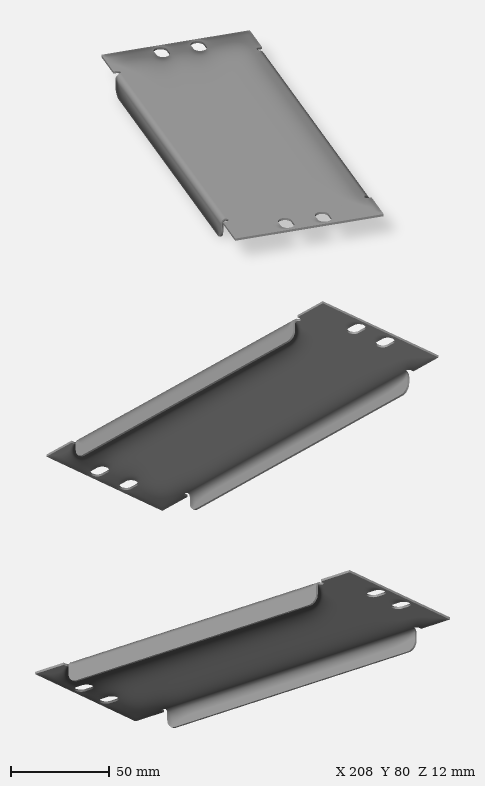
import cadquery as cq

LENGTH = 208.0
WIDTH = 80.0
HEIGHT = 12.0
THICKNESS = 1.2

FLANGE_LENGTH = 164.0
FLANGE_CORNER_RADIUS = 5.0
BEND_OUTER_RADIUS = 3.0
BEND_INNER_RADIUS = BEND_OUTER_RADIUS - THICKNESS

NOTCH_WIDTH = 3.1
NOTCH_DEPTH = 3.3

SLOT_LENGTH = 10.8
SLOT_WIDTH = 7.0
SLOT_SPACING_X = 193.2
SLOT_SPACING_Y = 20.0


def make_plate():
    """Flat panel, full size, from which the bend zones are removed later."""
    return cq.Workplane("XY").box(LENGTH, WIDTH, THICKNESS).translate((0, 0, -THICKNESS / 2))


def make_channel():
    """Downward channel: the middle of the panel with its two bent flanges."""
    outer = (
        cq.Workplane("XY")
        .box(FLANGE_LENGTH, WIDTH, HEIGHT)
        .translate((0, 0, -HEIGHT / 2))
        .edges("|X and >Z")
        .fillet(BEND_OUTER_RADIUS)
        .edges("|Y and <Z")
        .fillet(FLANGE_CORNER_RADIUS)
    )
    inner = (
        cq.Workplane("XY")
        .box(FLANGE_LENGTH, WIDTH - 2 * THICKNESS, HEIGHT)
        .translate((0, 0, -HEIGHT / 2 - THICKNESS))
        .edges("|X and >Z")
        .fillet(BEND_INNER_RADIUS)
    )
    return outer.cut(inner)


def make_bend_zone(side):
    """Strip of flat panel, along one long edge, that the bend replaces."""
    center_y = side * (WIDTH - BEND_OUTER_RADIUS) / 2
    return (
        cq.Workplane("XY")
        .box(FLANGE_LENGTH, BEND_OUTER_RADIUS, THICKNESS)
        .translate((0, center_y, -THICKNESS / 2))
    )


def make_notches():
    """Four notches, each a slot centred on the long edge so half of it cuts."""
    center_x = (FLANGE_LENGTH + NOTCH_WIDTH) / 2
    return (
        cq.Workplane("XY")
        .rect(2 * center_x, WIDTH, forConstruction=True)
        .vertices()
        .slot2D(2 * NOTCH_DEPTH, NOTCH_WIDTH, 90)
        .extrude(-THICKNESS)
    )


def make_mounting_slots():
    """Two lengthwise slots near each end of the panel."""
    return (
        cq.Workplane("XY")
        .rect(SLOT_SPACING_X, SLOT_SPACING_Y, forConstruction=True)
        .vertices()
        .slot2D(SLOT_LENGTH, SLOT_WIDTH)
        .extrude(-THICKNESS)
    )


plate = make_plate()
for side in (-1, 1):
    plate = plate.cut(make_bend_zone(side))
plate = plate.cut(make_notches()).cut(make_mounting_slots())

result = plate.union(make_channel())